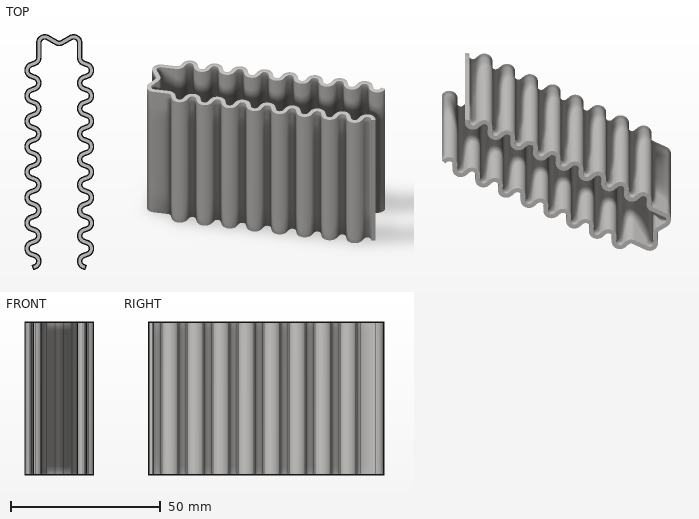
import cadquery as cq
import math

overall_length = 78.5
height = 51.0
strip = 1.5
inside_radius = 1.25

wall_offset = 6.8
wall_length = 4.95
notch_angle = 30.0

wave_count = 8
corrugation_length = 68.0
wave_depth = 3.9

wave_pitch = corrugation_length / wave_count
half_strip = strip / 2
bend_radius = inside_radius + half_strip

notch_rad = math.radians(notch_angle)
corner_x = wall_offset - bend_radius
notch_side = (corner_x - 2 * bend_radius * math.sin(notch_rad)) / math.cos(notch_rad)
notch_drop = 2 * bend_radius * (1 - math.cos(notch_rad)) + notch_side * math.sin(notch_rad)
notch_y = overall_length / 2 - half_strip - notch_drop

centre_dx = wave_depth - 2 * bend_radius
centre_dy = wave_pitch / 2
centre_gap = math.hypot(centre_dx, centre_dy)
flank = math.sqrt(centre_gap**2 - (2 * bend_radius) ** 2)
flank_rad = math.acos(2 * bend_radius / centre_gap) - math.atan2(centre_dx, centre_dy)
flank_turn = 90.0 - math.degrees(flank_rad)


def bend(turn):
    """Bend of the strip by a signed angle in degrees, left turns positive."""
    return ("bend", turn)


def straight(length):
    """Flat stretch of the strip."""
    return ("straight", length)


def half_strip_path():
    """Bends and flats from the bottom of the V notch to the free end of the +X leg."""
    path = [
        bend(notch_angle),
        straight(notch_side),
        bend(-90.0 - notch_angle),
        straight(wall_length),
        bend(flank_turn),
    ]
    for _ in range(wave_count):
        path += [
            straight(flank),
            bend(-2 * flank_turn),
            straight(flank),
            bend(2 * flank_turn),
        ]
    path.append(straight(flank / 2))
    return path


def polar(origin, radius, angle):
    """Point at a radius and an angle in degrees from the origin point."""
    rad = math.radians(angle)
    return (origin[0] + radius * math.cos(rad), origin[1] + radius * math.sin(rad))


def trace_left_face(outline, path, position, heading):
    """Draw the left face of the strip along a path; return the outline, end position and heading."""
    for kind, value in path:
        if kind == "straight":
            position = polar(position, value, heading)
            outline = outline.lineTo(*polar(position, half_strip, heading + 90.0))
            continue
        turn_side = math.copysign(1.0, value)
        to_strip = heading - turn_side * 90.0
        centre = polar(position, -bend_radius, to_strip)
        face_radius = bend_radius - turn_side * half_strip
        face_middle = polar(centre, face_radius, to_strip + value / 2)
        face_end = polar(centre, face_radius, to_strip + value)
        outline = outline.threePointArc(face_middle, face_end)
        position = polar(centre, bend_radius, to_strip + value)
        heading += value
    return outline, position, heading


def swap_turns(path):
    """The path mirrored left to right."""
    return [(kind, -value if kind == "bend" else value) for kind, value in path]


def turn_round(outline, position, heading):
    """Draw the flat free end of the strip and face back along it; return outline and new heading."""
    outline = outline.lineTo(*polar(position, half_strip, heading - 90.0))
    return outline, heading + 180.0


def strip_outline():
    """Closed outline, clockwise from the notch: +X leg out and back, then -X leg out and back."""
    leg_out = half_strip_path()
    mirrored_leg_out = swap_turns(leg_out)
    mirrored_leg_back = leg_out[::-1]
    leg_back = swap_turns(mirrored_leg_back)

    outline = cq.Workplane("XY").moveTo(0, notch_y + half_strip)
    outline, position, heading = trace_left_face(outline, leg_out, (0, notch_y), 0.0)
    outline, heading = turn_round(outline, position, heading)
    inner_run = leg_back + mirrored_leg_out
    outline, position, heading = trace_left_face(outline, inner_run, position, heading)
    outline, heading = turn_round(outline, position, heading)
    outline, _, _ = trace_left_face(outline, mirrored_leg_back, position, heading)
    return outline.close()


result = strip_outline().extrude(height)